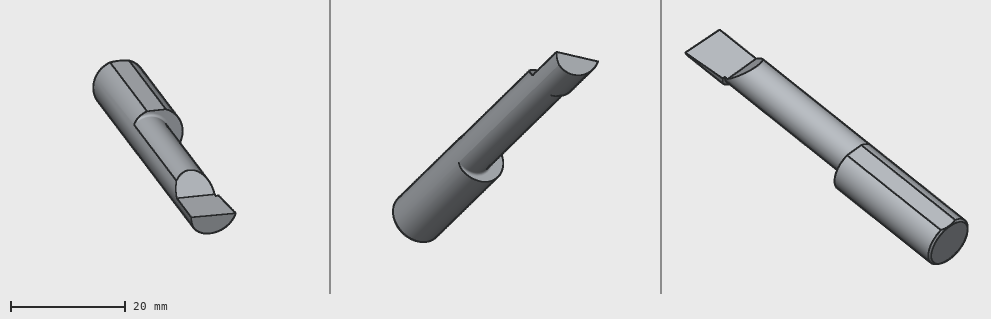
import cadquery as cq
import math

total_length = 63.5
shank_radius = 4.75
shank_length = 24.1
shank_chamfer = 0.4
flat_height = 4.45

neck_radius = 3.55
neck_y = -1.45
root_fillet = 0.5

rake_start = 54.0
head_start = 54.7
head_start_y = 2.6
tip_y = 3.25
end_relief_angle = 7.0
end_skew_angle = 2.0

neck_bottom = -neck_radius


def x_cylinder(radius, length, y=0, z=0):
    """Cylinder along +X, starting at X = 0."""
    return cq.Workplane("YZ").center(y, z).circle(radius).extrude(length)


def make_shank():
    """Round shank with a chamfered rear end and a flat along its top."""
    shank = x_cylinder(shank_radius, shank_length).faces("<X").chamfer(shank_chamfer)
    below_flat = cq.Workplane("XY").box(
        total_length, 2 * shank_radius, flat_height + shank_radius, centered=(False, True, False)
    )
    return shank.intersect(below_flat.translate((0, 0, -shank_radius)))


def make_neck():
    """Offset round neck with a filleted root, before it is trimmed to the shank radius."""
    fillet_end = shank_length + root_fillet
    arc_offset = root_fillet * (1 - math.sqrt(0.5))
    return (
        cq.Workplane("XY", origin=(0, neck_y, 0))
        .moveTo(shank_length, 0)
        .lineTo(shank_length, neck_radius + root_fillet)
        .threePointArc(
            (shank_length + arc_offset, neck_radius + arc_offset),
            (fillet_end, neck_radius),
        )
        .lineTo(total_length, neck_radius)
        .lineTo(total_length, 0)
        .close()
        .revolve(360, (0, 0, 0), (1, 0, 0))
    )


def make_head():
    """Widened head below the rake face, its rounded underside blending into the neck bottom."""
    reach = tip_y - neck_y
    underside_radius = (reach**2 + neck_bottom**2) / (2 * -neck_bottom)
    plan = (
        cq.Workplane("XY")
        .polyline([
            (head_start, neck_y),
            (head_start, head_start_y),
            (total_length, tip_y),
            (total_length, neck_y),
        ])
        .close()
        .extrude(neck_bottom)
    )
    underside = x_cylinder(underside_radius, total_length, neck_y, neck_bottom + underside_radius)
    return plan.intersect(underside)


def make_rake_cut():
    """Material removed above the rake face and its 45 degree run-in slope."""
    return (
        cq.Workplane("XZ")
        .polyline([
            (rake_start, 0),
            (total_length, 0),
            (total_length, shank_radius),
            (rake_start - shank_radius, shank_radius),
        ])
        .close()
        .extrude(shank_radius, both=True)
    )


def make_end_cut():
    """Block whose rear face is the relieved and skewed end face through the tip."""
    size = 4 * shank_radius
    return (
        cq.Workplane("XY")
        .box(size, size, size, centered=(False, True, True))
        .rotate((0, 0, 0), (0, 1, 0), end_relief_angle)
        .rotate((0, 0, 0), (0, 0, 1), -end_skew_angle)
        .translate((total_length, tip_y, 0))
    )


trimmed_neck = make_neck().intersect(x_cylinder(shank_radius, total_length))
bar = make_shank().union(trimmed_neck).cut(make_rake_cut())
result = bar.union(make_head()).cut(make_end_cut())